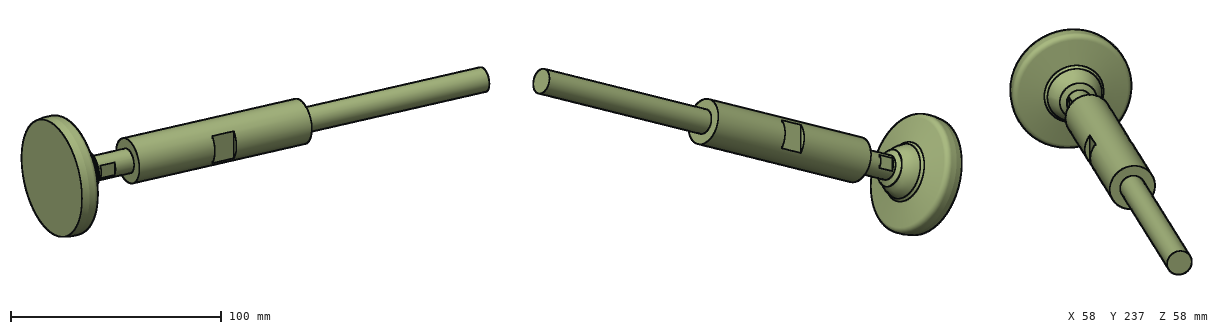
import cadquery as cq
import math

TOTAL_LENGTH = 237.0

FOOT_DIAMETER = 58.0
FOOT_RADIUS = FOOT_DIAMETER / 2
BASE_RADIUS = 28.5
RIM_START = 3.8
RIM_END = 6.9
PLATE_TOP_RADIUS = 14.5
PLATE_TOP_Y = 11.5
CORNER_Y = 9.2
TOP_SLOPE = math.atan2(PLATE_TOP_Y - CORNER_Y, FOOT_RADIUS - PLATE_TOP_RADIUS)
ROUNDING_REACH = CORNER_Y - RIM_END
SHOULDER_RADIUS = FOOT_RADIUS - ROUNDING_REACH * math.cos(TOP_SLOPE)
SHOULDER_Y = CORNER_Y + ROUNDING_REACH * math.sin(TOP_SLOPE)
DOME_BASE_RADIUS = 13.3
DOME_BASE_Y = 13.0
DOME_MIDDLE_RADIUS = 11.5
DOME_MIDDLE_Y = 16.8
DOME_TOP_RADIUS = 8.3
DOME_TOP_Y = 20.5

ROD_DIAMETER = 12.0
ROD_RADIUS = ROD_DIAMETER / 2
COLLAR_RADIUS = 9.0
COLLAR_EDGE_Y = 20.9
COLLAR_TOP_Y = 22.3
ROD_FLATS_WIDTH = 10.2
ROD_FLATS_START = 23.7
ROD_FLATS_LENGTH = 7.8

SLEEVE_DIAMETER = 22.0
SLEEVE_START = 41.7
SLEEVE_LENGTH = 94.8
SLEEVE_FLATS_WIDTH = 17.0
SLEEVE_FLATS_LENGTH = 11.8
SLEEVE_FLATS_START = SLEEVE_START + (SLEEVE_LENGTH - SLEEVE_FLATS_LENGTH) / 2


def cylinder(diameter, start, length):
    """Cylinder on the Y axis, from Y = start towards +Y."""
    plane = cq.Workplane("XZ", origin=(0, start, 0))
    return plane.circle(diameter / 2).extrude(-length)


def revolve_about_y(profile):
    """Turn a closed half profile, drawn as (radius, Y), about the Y axis."""
    return profile.close().revolve(360, (0, 0, 0), (0, 1, 0))


def cut_wrench_flats(body, diameter, width, start, length):
    """Cut two opposite flats, facing -X and +X, into a round body."""
    depth = (diameter - width) / 2
    for side in (-1, 1):
        cutter = (
            cq.Workplane("XY")
            .box(2 * depth, length, diameter)
            .translate((side * (width / 2 + depth), start + length / 2, 0))
        )
        body = body.cut(cutter)
    return body


def make_foot():
    profile = (
        cq.Workplane("XY")
        .moveTo(0, 0)
        .lineTo(BASE_RADIUS, 0)
        .lineTo(FOOT_RADIUS, RIM_START)
        .lineTo(FOOT_RADIUS, RIM_END)
        .tangentArcPoint((SHOULDER_RADIUS, SHOULDER_Y), relative=False)
        .lineTo(PLATE_TOP_RADIUS, PLATE_TOP_Y)
        .lineTo(DOME_BASE_RADIUS, DOME_BASE_Y)
        .threePointArc((DOME_MIDDLE_RADIUS, DOME_MIDDLE_Y), (DOME_TOP_RADIUS, DOME_TOP_Y))
        .lineTo(0, DOME_TOP_Y)
    )
    return revolve_about_y(profile)


def make_spindle():
    profile = (
        cq.Workplane("XY")
        .moveTo(0, DOME_TOP_Y)
        .lineTo(DOME_TOP_RADIUS, DOME_TOP_Y)
        .lineTo(COLLAR_RADIUS, COLLAR_EDGE_Y)
        .lineTo(ROD_RADIUS, COLLAR_TOP_Y)
        .lineTo(ROD_RADIUS, TOTAL_LENGTH)
        .lineTo(0, TOTAL_LENGTH)
    )
    spindle = revolve_about_y(profile)
    return cut_wrench_flats(spindle, ROD_DIAMETER, ROD_FLATS_WIDTH, ROD_FLATS_START, ROD_FLATS_LENGTH)


def make_sleeve():
    sleeve = cylinder(SLEEVE_DIAMETER, SLEEVE_START, SLEEVE_LENGTH)
    sleeve = cut_wrench_flats(
        sleeve, SLEEVE_DIAMETER, SLEEVE_FLATS_WIDTH, SLEEVE_FLATS_START, SLEEVE_FLATS_LENGTH
    )
    return sleeve.cut(cylinder(ROD_DIAMETER, SLEEVE_START, SLEEVE_LENGTH))


foot = make_foot()
spindle = make_spindle()
sleeve = make_sleeve()

result = cq.Compound.makeCompound([foot.val(), spindle.val(), sleeve.val()])